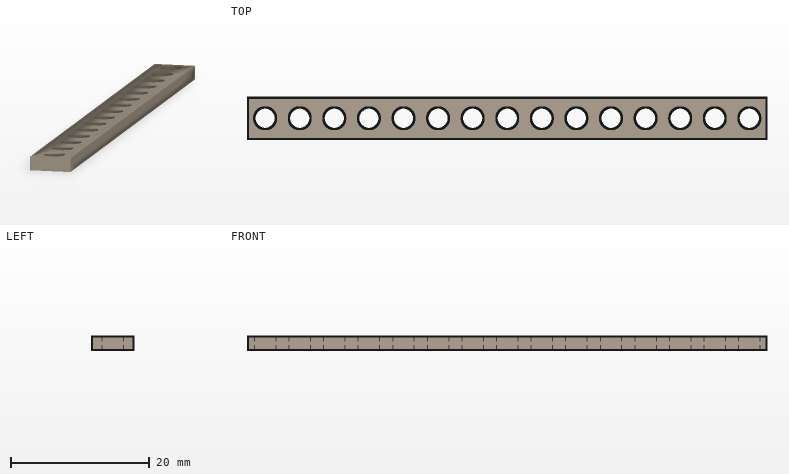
import cadquery as cq

hole_count = 15
hole_pitch = 5.0
hole_diameter = 3.1
bar_width = 6.0
bar_thickness = 2.0

bar_length = hole_count * hole_pitch


def make_bar():
    """Flat rectangular bar centred on the origin."""
    return cq.Workplane("XY").box(bar_length, bar_width, bar_thickness)


def drill_holes(bar):
    """Drill a row of evenly spaced through holes along the bar's centre line."""
    return (
        bar.faces(">Z")
        .workplane()
        .rarray(hole_pitch, 1, hole_count, 1)
        .hole(hole_diameter)
    )


result = drill_holes(make_bar())